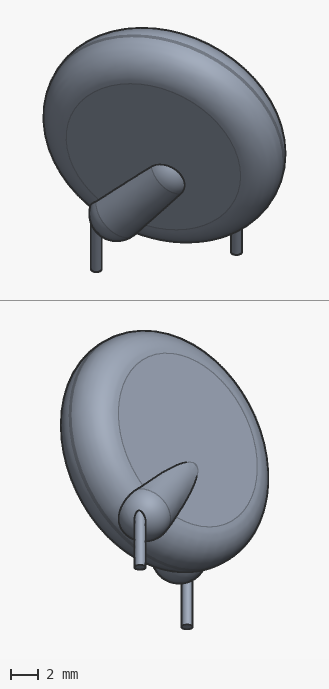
import cadquery as cq
import math

disc_diameter = 18.0
disc_thickness = 5.0
rim_radius = 2.4

overall_height = 20.7
lead_diameter = 0.8
front_lead_x = -4.3
back_lead_x = 4.57
front_lead_y = -2.48
back_lead_y = 2.57
lead_bottom_z = disc_diameter / 2 - overall_height

lower_radius = 1.99
upper_radius = 1.78
lower_z = -6.7
upper_z = -2.03
front_lower = cq.Vector(-2.98, -1.82, lower_z)
front_upper = cq.Vector(0.91, -1.51, upper_z)
back_lower = cq.Vector(3.4, 1.68, lower_z)
back_upper = cq.Vector(-0.55, 0.77, upper_z)


def make_disc():
    """Flat-faced disc with both rim edges rounded."""
    disc = cq.Workplane("XZ").circle(disc_diameter / 2).extrude(disc_thickness / 2, both=True)
    return disc.edges("%CIRCLE").fillet(rim_radius)


def make_bulge(lower, upper):
    """Tapered rod whose spherical ends are tangent to its conical side."""
    axis = upper - lower
    length = axis.Length
    taper = math.asin((lower_radius - upper_radius) / length)
    sine = math.sin(taper)
    cosine = math.cos(taper)
    lower_middle = taper / 2 - math.pi / 4
    upper_middle = taper / 2 + math.pi / 4

    profile = (
        cq.Workplane(cq.Plane(origin=(0, 0, 0), xDir=(1, 0, 0), normal=(0, -1, 0)))
        .moveTo(0, -lower_radius)
        .threePointArc(
            (lower_radius * math.cos(lower_middle), lower_radius * math.sin(lower_middle)),
            (lower_radius * cosine, lower_radius * sine),
        )
        .lineTo(upper_radius * cosine, length + upper_radius * sine)
        .threePointArc(
            (upper_radius * math.cos(upper_middle), length + upper_radius * math.sin(upper_middle)),
            (0, length + upper_radius),
        )
        .close()
    )
    rod = profile.revolve(360, (0, 0), (0, 1))
    return rod.val().moved(cq.Location(cq.Plane(origin=lower, normal=axis)))


def make_lead(x, y):
    """Straight round wire rising from its free end into the bulge."""
    wire = cq.Workplane("XY", origin=(x, y, lead_bottom_z)).circle(lead_diameter / 2)
    return wire.extrude(lower_z - lead_bottom_z)


result = (
    make_disc()
    .union(make_bulge(front_lower, front_upper))
    .union(make_bulge(back_lower, back_upper))
    .union(make_lead(front_lead_x, front_lead_y))
    .union(make_lead(back_lead_x, back_lead_y))
)